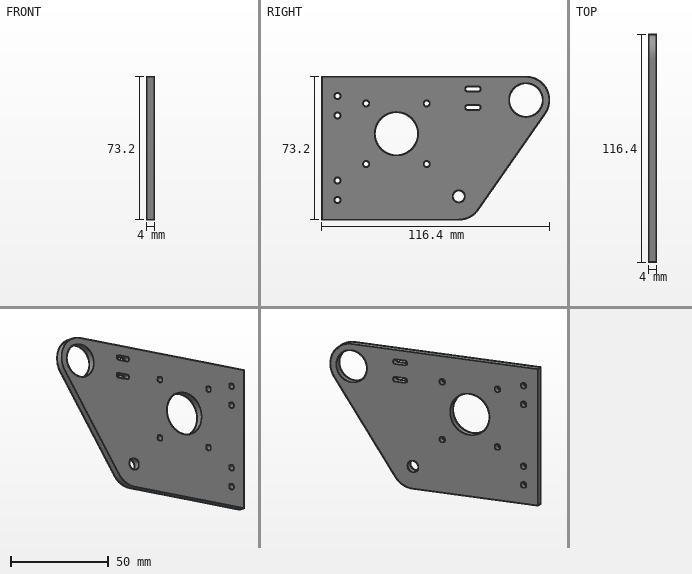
import cadquery as cq
import math

thickness = 4.0
length = 116.4
height = 73.2

corner_radius = 12.0
upper_corner = (length - corner_radius, height - corner_radius)
lower_corner = (70.1, corner_radius)
upper_bore_diameter = 17.1
lower_hole_diameter = 6.0

main_bore_center = (38.2, 44.0)
main_bore_diameter = 22.0
screw_spacing = 31.0
screw_diameter = 3.0

end_hole_inset = 8.0
end_pair_centers = (15.1, 58.3)
end_pair_spacing = 10.0

slot_center = (77.3, 62.1)
slot_spacing = 9.4
slot_length = 7.8
slot_width = 2.5


def on_corner(center, angle):
    """Point on a corner arc at the given angle in radians."""
    y, z = center
    return (y + corner_radius * math.cos(angle), z + corner_radius * math.sin(angle))


def plate():
    """Outline with two corner arcs joined by their common outer tangent."""
    slope = math.atan2(upper_corner[1] - lower_corner[1], upper_corner[0] - lower_corner[0])
    tangent = slope - math.pi / 2
    top = math.pi / 2
    bottom = -math.pi / 2
    return (
        cq.Workplane("YZ")
        .lineTo(lower_corner[0], 0)
        .threePointArc(
            on_corner(lower_corner, (bottom + tangent) / 2),
            on_corner(lower_corner, tangent),
        )
        .lineTo(*on_corner(upper_corner, tangent))
        .threePointArc(
            on_corner(upper_corner, (tangent + top) / 2),
            on_corner(upper_corner, top),
        )
        .lineTo(0, height)
        .close()
        .extrude(thickness)
    )


def drill(body, centers, diameter):
    """Cut round through holes at the given (Y, Z) centers."""
    holes = cq.Workplane("YZ").pushPoints(centers).circle(diameter / 2).extrude(thickness)
    return body.cut(holes)


def cut_slots(body):
    """Cut the two through slots, which run along Y."""
    y, z = slot_center
    centers = [(y, z + side * slot_spacing / 2) for side in (-1, 1)]
    slots = cq.Workplane("YZ").pushPoints(centers).slot2D(slot_length, slot_width).extrude(thickness)
    return body.cut(slots)


bore_y, bore_z = main_bore_center
bore_screws = [
    (bore_y + side_y * screw_spacing / 2, bore_z + side_z * screw_spacing / 2)
    for side_y in (-1, 1)
    for side_z in (-1, 1)
]
end_screws = [
    (end_hole_inset, center + side * end_pair_spacing / 2)
    for center in end_pair_centers
    for side in (-1, 1)
]

result = plate()
result = drill(result, [upper_corner], upper_bore_diameter)
result = drill(result, [lower_corner], lower_hole_diameter)
result = drill(result, [main_bore_center], main_bore_diameter)
result = drill(result, bore_screws + end_screws, screw_diameter)
result = cut_slots(result)